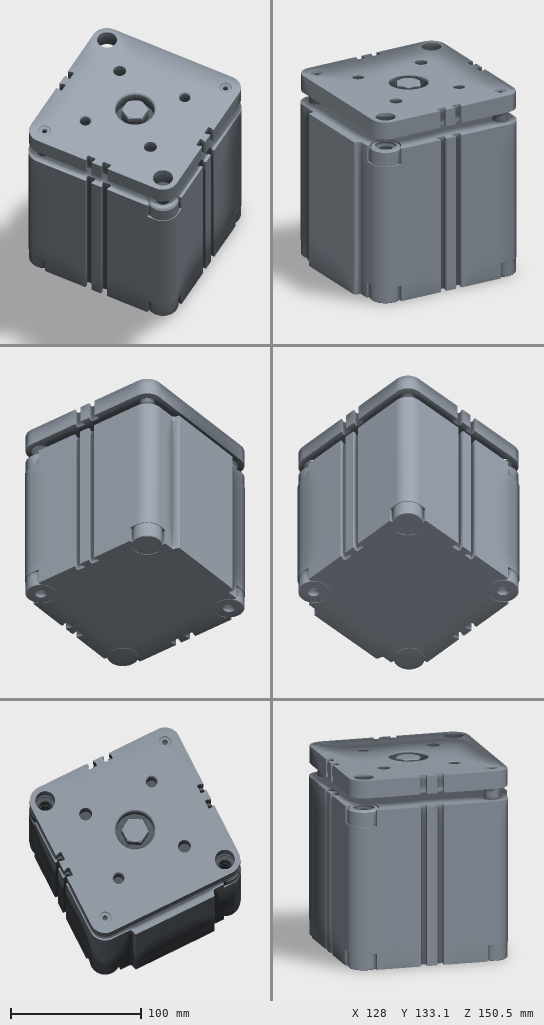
import cadquery as cq
import math

quarter_turn = 90

top_z = 150.5
plate_thickness = 14.0
plate_bottom_z = top_z - plate_thickness
housing_height = 126.5

housing_width = 128.0
plate_width = 126.7
guide_offset = 51.5
housing_half = housing_width / 2
plate_half = plate_width / 2

slot_offset = 6.8
slot_mouth_width = 5.1
slot_inner_width = 6.8
slot_lip = 2.4
slot_depth = 5.5

rail_top_y = 69.1
rail_flare_y = 65.2
rail_round_y = 67.7
rail_foot_half = 36.0
rail_flare_half = 34.9
rail_round_half = 34.3
rail_top_half = 33.1

boss_diameter = 24.0
boss_top_chamfer = 1.4
boss_bottom_chamfer = 0.5
notch_start = 44.5
notch_height = 12.8

mounting_bore_diameter = 9.0
mounting_step_diameter = 9.8
mounting_step_depth = 12.8
mounting_step_rim_diameter = 11.5
mounting_head_diameter = 16.5
mounting_head_depth = 1.5

access_hole_diameter = 15.4
plate_hole_diameter = 10.0
plate_hole_offset = 28.3
threaded_hole_diameter = 8.5
recess_diameter = 30.1
recess_rim_diameter = 31.9
recess_depth = 10.8
hex_width = 18.0
hex_drop = 0.5
hex_face_diameter = 17.6
hex_chamfer_angle = 30.0

piston_rod_diameter = 25.0
piston_rod_flat_width = 22.0
flat_clearance = 0.6
guide_rod_diameter = 12.0
guide_collar_diameter = 13.0
guide_collar_height = 0.6
rod_engagement = 19.9
rod_bottom_z = housing_height - rod_engagement

rod_end_diameter = 10.0
rod_end_inner_diameter = 8.6
socket_rim_diameter = 5.0
socket_diameter = 3.6
socket_depth = 4.5

guide_points = [(-guide_offset, -guide_offset), (guide_offset, guide_offset)]
mounting_points = [(-guide_offset, guide_offset), (guide_offset, -guide_offset)]


def cylinder(point, diameter, low_z, high_z):
    x, y = point
    solid = cq.Workplane("XY").circle(diameter / 2).extrude(high_z - low_z)
    return solid.translate((x, y, low_z))


def cone(point, bottom_diameter, top_diameter, low_z, high_z):
    x, y = point
    solid = cq.Solid.makeCone(bottom_diameter / 2, top_diameter / 2, high_z - low_z)
    return cq.Workplane(solid.translate(cq.Vector(x, y, low_z)))


def countersink(point, hole_diameter, rim_diameter, face_z):
    depth = (rim_diameter - hole_diameter) / 2
    return cone(point, hole_diameter, rim_diameter, face_z - depth, face_z)


def rounded_block(half_width, low_z, high_z):
    """Square block whose corner rounds are centred on the guide rods."""
    block = cq.Workplane("XY").rect(2 * half_width, 2 * half_width).extrude(high_z - low_z)
    block = block.edges("|Z").fillet(half_width - guide_offset)
    return block.translate((0, 0, low_z))


def t_slots():
    """Full-height cutters for the pairs of T-slots on three sides."""
    front_y = -housing_half
    slots = cq.Workplane("XY")
    for x in (-slot_offset, slot_offset):
        mouth = cq.Workplane("XY").rect(slot_mouth_width, 2 * slot_depth).extrude(top_z)
        inner_depth = slot_depth - slot_lip
        inner = cq.Workplane("XY").rect(slot_inner_width, inner_depth).extrude(top_z)
        inner = inner.translate((0, slot_lip + inner_depth / 2, 0))
        slots = slots.union(mouth.union(inner).translate((x, front_y, 0)))
    left = slots.rotate((0, 0, 0), (0, 0, 1), -quarter_turn)
    right = slots.rotate((0, 0, 0), (0, 0, 1), quarter_turn)
    return slots.union(left).union(right)


def rail():
    """Low full-height rail with a flared foot and rounded outer corners."""
    middle = math.sqrt(0.5)
    corner_x = rail_top_half + (rail_round_half - rail_top_half) * middle
    corner_y = rail_round_y + (rail_top_y - rail_round_y) * middle
    return (
        cq.Workplane("XY")
        .moveTo(-rail_foot_half, 0)
        .lineTo(-rail_foot_half, housing_half)
        .lineTo(-rail_flare_half, rail_flare_y)
        .lineTo(-rail_round_half, rail_round_y)
        .threePointArc((-corner_x, corner_y), (-rail_top_half, rail_top_y))
        .lineTo(rail_top_half, rail_top_y)
        .threePointArc((corner_x, corner_y), (rail_round_half, rail_round_y))
        .lineTo(rail_flare_half, rail_flare_y)
        .lineTo(rail_foot_half, housing_half)
        .lineTo(rail_foot_half, 0)
        .close()
        .extrude(housing_height)
    )


def corner_notch(point, low_z, high_z):
    """Cutter that leaves only the round boss standing in a housing corner."""
    x, y = point
    size = 2 * (housing_half - notch_start)
    block = cq.Workplane("XY").rect(size, size).extrude(high_z - low_z)
    block = block.translate((math.copysign(housing_half, x), math.copysign(housing_half, y), low_z))
    return block.cut(cylinder(point, boss_diameter, low_z, high_z))


def top_boss_chamfer(point):
    bottom_z = housing_height - boss_top_chamfer
    ring = cylinder(point, boss_diameter, bottom_z, housing_height)
    face_diameter = boss_diameter - 2 * boss_top_chamfer
    return ring.cut(cone(point, boss_diameter, face_diameter, bottom_z, housing_height))


def bottom_boss_chamfer(point):
    ring = cylinder(point, boss_diameter, 0, boss_bottom_chamfer)
    face_diameter = boss_diameter - 2 * boss_bottom_chamfer
    return ring.cut(cone(point, face_diameter, boss_diameter, 0, boss_bottom_chamfer))


def mounting_hole(point):
    head_z = housing_height - mounting_head_depth
    step_z = housing_height - mounting_step_depth
    hole = cylinder(point, mounting_bore_diameter, 0, housing_height)
    hole = hole.union(cylinder(point, mounting_step_diameter, step_z, housing_height))
    hole = hole.union(countersink(point, mounting_step_diameter, mounting_step_rim_diameter, head_z))
    return hole.union(cylinder(point, mounting_head_diameter, head_z, housing_height))


def make_housing():
    body = rounded_block(housing_half, 0, housing_height).union(rail()).cut(t_slots())
    for point in guide_points + mounting_points:
        body = body.cut(corner_notch(point, 0, notch_height))
        body = body.cut(bottom_boss_chamfer(point))
    for point in mounting_points:
        body = body.cut(corner_notch(point, housing_height - notch_height, housing_height))
        body = body.cut(top_boss_chamfer(point))
        body = body.cut(mounting_hole(point))
    for point in guide_points:
        body = body.cut(cylinder(point, guide_rod_diameter, rod_bottom_z, housing_height))
    return body.cut(cylinder((0, 0), piston_rod_diameter, rod_bottom_z, housing_height))


def piston_rod():
    rod = cylinder((0, 0), piston_rod_diameter, rod_bottom_z, plate_bottom_z)
    flat_bottom_z = housing_height + flat_clearance
    flat_height = plate_bottom_z - flat_bottom_z
    collar = cylinder((0, 0), piston_rod_diameter, flat_bottom_z, plate_bottom_z)
    tongue = cq.Workplane("XY").rect(piston_rod_diameter, piston_rod_flat_width).extrude(flat_height)
    return rod.cut(collar.cut(tongue.translate((0, 0, flat_bottom_z))))


def hexagon_end():
    """Hexagon on the plate's recess floor, with its corners chamfered by a cone."""
    bottom_z = top_z - recess_depth
    height = recess_depth - hex_drop
    corner_diameter = hex_width / math.cos(math.pi / 6)
    slope = math.tan(math.radians(hex_chamfer_angle))
    base_diameter = hex_face_diameter + 2 * height / slope
    hexagon = cq.Workplane("XY").polygon(6, corner_diameter).extrude(height)
    hexagon = hexagon.rotate((0, 0, 0), (0, 0, 1), quarter_turn).translate((0, 0, bottom_z))
    return hexagon.intersect(cone((0, 0), base_diameter, hex_face_diameter, bottom_z, bottom_z + height))


def guide_rod(point):
    collar_z = plate_bottom_z - guide_collar_height
    rod = cylinder(point, guide_rod_diameter, rod_bottom_z, plate_bottom_z)
    return rod.union(cylinder(point, guide_collar_diameter, collar_z, plate_bottom_z))


def rod_end_socket(point):
    """Cutter for the dished rod end and its blind socket in the plate top."""
    dish_z = top_z - (rod_end_diameter - rod_end_inner_diameter) / 2
    dish = countersink(point, rod_end_inner_diameter, rod_end_diameter, top_z)
    rim = countersink(point, socket_diameter, socket_rim_diameter, dish_z)
    return dish.union(rim).union(cylinder(point, socket_diameter, dish_z - socket_depth, dish_z))


def make_moving_plate():
    plate = rounded_block(plate_half, plate_bottom_z, top_z).cut(t_slots())
    plate = plate.cut(cylinder((0, 0), recess_diameter, top_z - recess_depth, top_z))
    plate = plate.cut(countersink((0, 0), recess_diameter, recess_rim_diameter, top_z))
    plate = plate.union(hexagon_end()).union(piston_rod())
    for point in guide_points:
        plate = plate.union(guide_rod(point)).cut(rod_end_socket(point))
    for point in mounting_points:
        plate = plate.cut(cylinder(point, access_hole_diameter, plate_bottom_z, top_z))
    for offset in (-plate_hole_offset, plate_hole_offset):
        plain = (-offset, offset)
        threaded = (offset, offset)
        plate = plate.cut(cylinder(plain, plate_hole_diameter, plate_bottom_z, top_z))
        plate = plate.cut(cylinder(threaded, threaded_hole_diameter, plate_bottom_z, top_z))
        plate = plate.cut(countersink(threaded, threaded_hole_diameter, plate_hole_diameter, top_z))
    return plate


housing = make_housing()
moving_plate = make_moving_plate()
result = cq.Compound.makeCompound([housing.val(), moving_plate.val()])